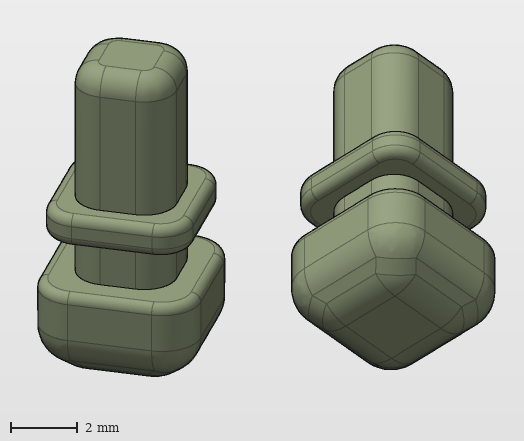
import cadquery as cq

head_width = 5
head_height = 3
head_chamfer = 1
head_edge_radius = 1.2

total_height = 10
shaft_width = 3.1
shaft_corner_radius = 1
shaft_top_radius = 0.7

collar_width = 4.5
collar_bottom = 4.5
collar_height = 1
collar_corner_radius = 1

rim_radius = 0.3


def rounded_square_bar(width, corner_radius, bottom, top):
    """Square bar centred on Z with rounded vertical edges."""
    return (
        cq.Workplane("XY")
        .workplane(offset=bottom)
        .rect(width, width)
        .extrude(top - bottom)
        .edges("|Z")
        .fillet(corner_radius)
    )


head = cq.Workplane("XY").box(head_width, head_width, head_height, centered=(True, True, False))
head = head.faces("<Z").edges().chamfer(head_chamfer)
head = head.edges("not >Z").fillet(head_edge_radius)
head = head.faces(">Z").edges().fillet(rim_radius)

shaft = rounded_square_bar(shaft_width, shaft_corner_radius, head_height, total_height)
shaft = shaft.faces(">Z").edges().fillet(shaft_top_radius)

collar = rounded_square_bar(
    collar_width, collar_corner_radius, collar_bottom, collar_bottom + collar_height
)
collar = collar.faces("<Z or >Z").edges().fillet(rim_radius)

result = head.union(shaft).union(collar)